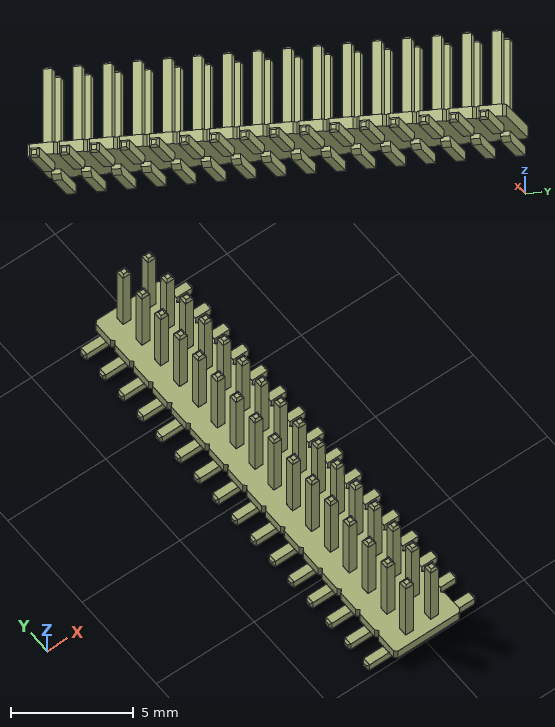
import cadquery as cq


pin_count = 16
strip_length = 20.32
strip_width = 3.4
strip_height = 0.5
strip_chamfer = 0.132
overall_width = 5.57
overall_height = 4.4
pin_size = 0.4
tip_chamfer = 0.1
bend_chamfer = 0.2

pitch = strip_length / pin_count
row_x = pitch / 2
foot_tip_x = overall_width / 2
foot_inner_x = row_x - pin_size / 2
foot_length = foot_tip_x - foot_inner_x
pin_places = [(i - (pin_count - 1) / 2) * pitch for i in range(pin_count)]


def make_strip():
    """Insulator strip: one chamfered block per pin pair, joined end to end."""
    block = (
        cq.Workplane("XY", origin=(0, 0, pin_size))
        .rect(strip_width, pitch)
        .extrude(strip_height)
        .edges("|Z")
        .chamfer(strip_chamfer)
    )
    strip = block.translate((0, pin_places[0], 0))
    for y in pin_places[1:]:
        strip = strip.union(block.translate((0, y, 0)))
    return strip


def make_pin():
    """Right-row pin at Y = 0: upright post on a foot pointing to +X."""
    foot = (
        cq.Workplane("XY")
        .box(foot_length, pin_size, pin_size, centered=(False, True, False))
        .translate((foot_inner_x, 0, 0))
        .faces(">X")
        .chamfer(tip_chamfer)
        .edges("<X and <Z")
        .chamfer(bend_chamfer)
    )
    post = (
        cq.Workplane("XY", origin=(row_x, 0, pin_size))
        .rect(pin_size, pin_size)
        .extrude(overall_height - pin_size)
        .faces(">Z")
        .chamfer(tip_chamfer)
    )
    return foot.union(post)


right_pin = make_pin()
left_pin = right_pin.mirror("YZ")

result = make_strip()
for y in pin_places:
    for pin in (right_pin, left_pin):
        result = result.union(pin.translate((0, y, 0)))